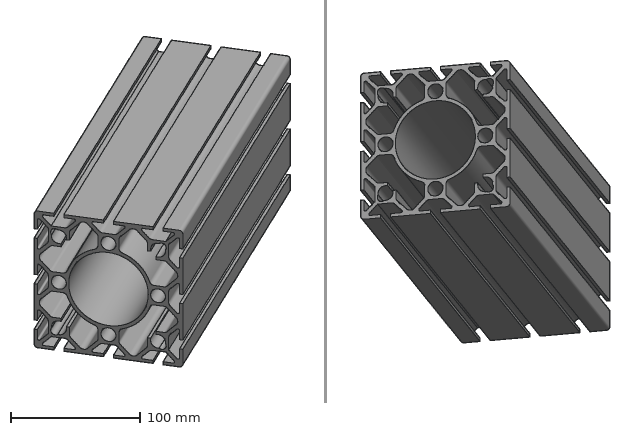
import cadquery as cq
import math

width = 120.0
length = 300.0
outer_radius = 3.0
pitch = width / 3
half_width = width / 2

slot_opening = 8.0
lip_thickness = 2.7
slot_end_radius = 1.2
slot_floor_radius = 4.0

channel_radius = 6.0
box_wall = 2.55
box_half = channel_radius + box_wall
web_thickness = 3.3
lobe_radius = 3.5
lobe_offset = 3.0
arm_reach = 1.8

bore_radius = 32.0
tube_radius = 35.0

face_wall = 4.2
chamber_face_radius = 4.0
chamber_box_radius = 3.0
chamber_tube_radius = 4.0

web_offset = web_thickness / math.sqrt(2)
slot_side_offset = pitch + web_offset
chamber_side_offset = pitch - web_offset
floor_z = pitch + box_half


def extrude_section(section):
    """Extrude a closed XZ section over the whole length, centred on Y."""
    return section.extrude(length / 2, both=True)


def round_edges(body, points, radius):
    """Round the lengthwise edges that pass through the given (x, z) points."""
    for x, z in points:
        body = body.edges(cq.NearestToPointSelector((x, 0, z))).fillet(radius)
    return body


def at_quarter_turns(body):
    """Return the body at the four quarter turns about the profile axis."""
    return [body.rotate((0, 0, 0), (0, 1, 0), 90 * turn) for turn in range(4)]


def channel(x, z, radius):
    return extrude_section(cq.Workplane("XZ").center(x, z).circle(radius))


def slot(x, rounded_sides):
    """T-slot in the top face, with its floor corners rounded on the given sides."""
    under_lip_z = half_width - lip_thickness
    floor_half = floor_z - slot_side_offset
    cavity_half = under_lip_z - slot_side_offset
    cavity_points = [
        (x - floor_half, floor_z),
        (x + floor_half, floor_z),
        (x + cavity_half, under_lip_z),
        (x - cavity_half, under_lip_z),
    ]
    cavity = extrude_section(cq.Workplane("XZ").polyline(cavity_points).close())
    cavity = round_edges(cavity, cavity_points[2:], slot_end_radius)
    floor_corners = [(x + side * floor_half, floor_z) for side in rounded_sides]
    cavity = round_edges(cavity, floor_corners, slot_floor_radius)
    opening_depth = half_width - floor_z
    opening = extrude_section(
        cq.Workplane("XZ").center(x, floor_z + opening_depth / 2).rect(slot_opening, opening_depth)
    )
    return cavity.union(opening)


def corner_chamber():
    """Chamber between the tube, two middle boxes and the corner box at +X +Z."""
    face_z = half_width - face_wall
    face_x = face_z - chamber_side_offset
    web_z = box_half + chamber_side_offset
    tube_z = math.sqrt(tube_radius**2 - box_half**2)
    tube_middle = tube_radius / math.sqrt(2)
    arm_end = pitch - arm_reach
    upper = [
        (box_half, tube_z),
        (box_half, web_z),
        (face_x, face_z),
        (pitch - face_x, face_z),
        (pitch - box_half, web_z),
        (pitch - box_half, arm_end),
    ]
    lower = [(z, x) for x, z in reversed(upper)]
    body = extrude_section(
        cq.Workplane("XZ")
        .polyline(upper + [(arm_end, arm_end)] + lower)
        .threePointArc((tube_middle, tube_middle), upper[0])
        .close()
    )
    for points in (upper, lower[::-1]):
        tube_corner, box_corner, face_start, face_end, arm_corner, _ = points
        body = round_edges(body, [tube_corner], chamber_tube_radius)
        body = round_edges(body, [box_corner, arm_corner], chamber_box_radius)
        body = round_edges(body, [face_start, face_end], chamber_face_radius)
    return body


def corner_channel():
    """Corner screw channel with flat arm faces inside and a lobe toward the outer corner."""
    lobe_center = pitch + lobe_offset
    square_center = pitch - channel_radius / 2
    arm_gap = extrude_section(
        cq.Workplane("XZ").center(square_center, square_center).rect(channel_radius, channel_radius)
    )
    body = channel(pitch, pitch, channel_radius)
    return body.union(channel(lobe_center, lobe_center, lobe_radius)).union(arm_gap)


result = extrude_section(cq.Workplane("XZ").rect(width, width)).edges("|Y").fillet(outer_radius)
result = result.cut(channel(0, 0, bore_radius))

cutters = [
    slot(-pitch, [1]),
    slot(0, [-1, 1]),
    slot(pitch, [-1]),
    channel(0, pitch, channel_radius),
    corner_chamber(),
    corner_channel(),
]
for cutter in cutters:
    for turned in at_quarter_turns(cutter):
        result = result.cut(turned)